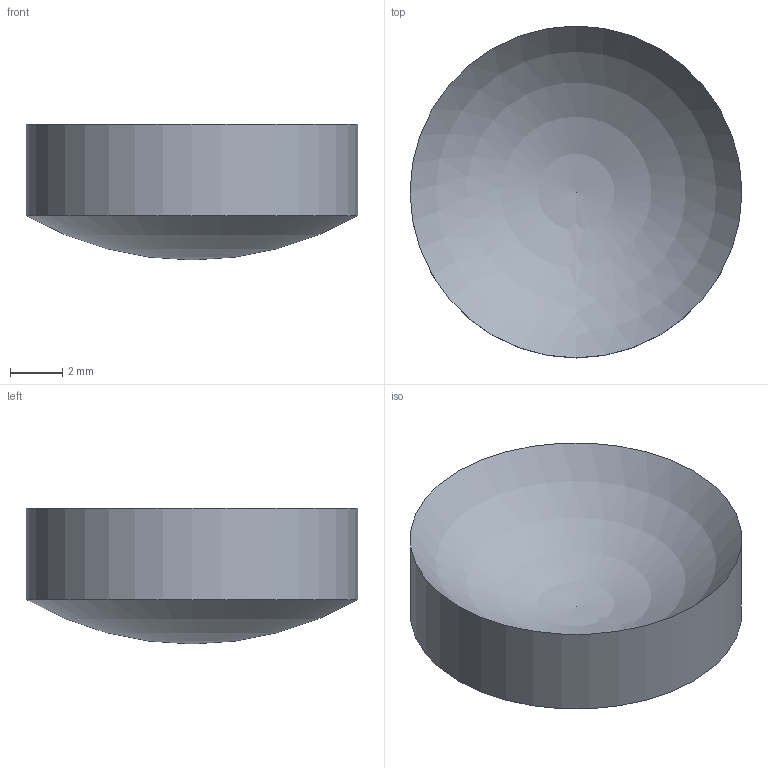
import cadquery as cq
import math

diameter = 12.7
overall_height = 5.2
edge_thickness = 3.5
centre_thickness = 2.0

lens_radius = diameter / 2
convex_depth = overall_height - edge_thickness
concave_depth = overall_height - centre_thickness


def cap_midpoint(depth, rim_height):
    """Section point halfway out along a spherical face sinking by depth below rim_height."""
    sphere_radius = (lens_radius**2 + depth**2) / (2 * depth)
    centre_height = rim_height - depth + sphere_radius
    mid_radius = lens_radius / 2
    return -mid_radius, centre_height - math.sqrt(sphere_radius**2 - mid_radius**2)


def half_section():
    """Lens half-section in the YZ plane, on the -Y side of the optical axis."""
    convex_apex = (0, -convex_depth)
    concave_apex = (0, edge_thickness - concave_depth)
    lower_edge = (-lens_radius, 0)
    upper_edge = (-lens_radius, edge_thickness)
    return (
        cq.Workplane("YZ")
        .moveTo(*convex_apex)
        .threePointArc(cap_midpoint(convex_depth, 0), lower_edge)
        .lineTo(*upper_edge)
        .threePointArc(cap_midpoint(concave_depth, edge_thickness), concave_apex)
        .close()
    )


result = half_section().revolve(360, (0, 0, 0), (0, 1, 0))